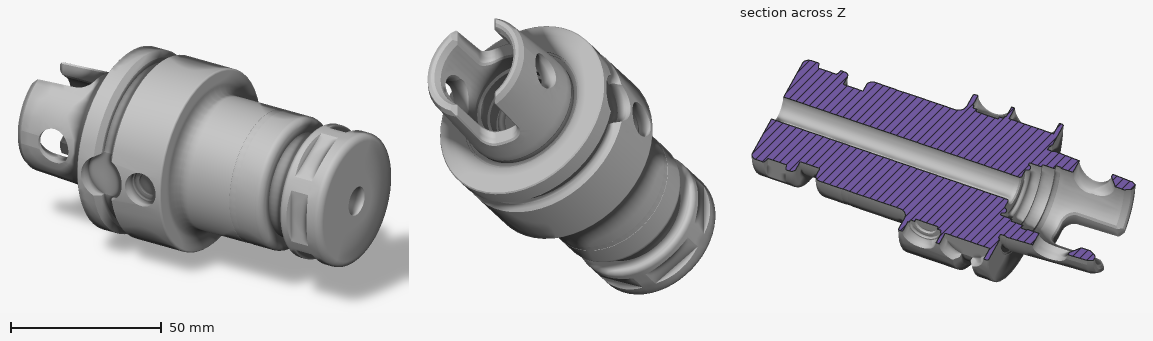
import cadquery as cq
import math

TOTAL_LENGTH = 122.0

SHANK_LENGTH = 32.0
TAPER_START = 1.9
TAPER_END = 30.4
TAPER_START_RADIUS = 18.5
TAPER_END_RADIUS = 20.0
TIP_RADIUS = 17.5
NECK_RELIEF_START = 31.0
NECK_RELIEF_RADIUS = 19.7

UNDERCUT_OUTER_RADIUS = 21.9
UNDERCUT_FLOOR_RADIUS = 21.2
UNDERCUT_DEPTH = 0.7
UNDERCUT_STEP_DEPTH = 0.3

FLANGE_RADIUS = 63.0 / 2
FLANGE_END = 64.75
FLANGE_EDGE_CHAMFER = 0.4
FLANGE_REAR_ROUND = 0.65
GROOVE_CENTER = 41.7
GROOVE_FLOOR_WIDTH = 4.0
GROOVE_MOUTH_WIDTH = 7.1
GROOVE_FLOOR_RADIUS = 27.7
GROOVE_CHAMFER_RADIUS = 29.3

BODY_RADIUS = 46.0 / 2
BODY_END = 98.9
BODY_END_ROUND = 2.2
BODY_BAND_START = 86.6
BODY_BAND_END = 89.0
BODY_BAND_DEPTH = 0.1
BODY_ROOT_ROUND = 3.0
NECK_RADIUS = 36.0 / 2
NUT_START = 105.9
NUT_RADIUS = BODY_RADIUS
NUT_FRONT_ROUND = 1.6
NUT_END_ROUND = 2.2

FLAT_COUNT = 6
FLAT_CENTER = 112.95
FLAT_FLOOR_WIDTH = 6.5
FLAT_MOUTH_WIDTH = 7.9
FLAT_DISTANCE = 21.0

BORE_FACE_RADIUS = 16.2
BORE_LEAD_RADIUS = 30.4 / 2
BORE_FACE_CHAMFER = 0.5
BORE_LEAD_END = 2.6
BORE_STEPS = [
    (28.0 / 2, 25.6),
    (28.8 / 2, 27.4),
    (26.0 / 2, 31.7),
    (24.0 / 2, 36.0),
]

BEAD_OUTER_RADIUS = 22.5 / 2
BEAD_INNER_RADIUS = 17.4 / 2
THROUGH_RADIUS = 10.0 / 2
THROUGH_ENTRY_RADIUS = 11.0 / 2

SLOT_HALF_WIDTH = 7.1
SLOT_DEPTH = 20.4
SLOT_CORNER_RADIUS = 4.0
SLOT_MOUTH_CHAMFER_WIDTH = 1.5
SLOT_MOUTH_CHAMFER_LENGTH = 1.9
SLOT_EDGE_CHAMFER = 0.6

BALL_HOLE_CENTER = 15.0
BALL_HOLE_DIAMETER = 12.3
BALL_SEAT_DIAMETER = 12.0
BALL_SEAT_TILT = 40.0
BALL_SEAT_DISTANCE = 15.5
LEAD_FLAT_WIDTH = 4.8
LEAD_FLAT_END = BALL_HOLE_CENTER - 4.0

POCKET_DIAMETER = 16.0
POCKET_FLOOR = 26.6
SCREW_HOLE_CENTER = 57.0
SCREW_HOLE_STEPS = [(12.0, 27.0), (11.0, 26.0), (8.0, 25.0)]

SIDES = (-1, 1)


def outer_body():
    groove_left = GROOVE_CENTER - GROOVE_MOUTH_WIDTH / 2
    groove_right = GROOVE_CENTER + GROOVE_MOUTH_WIDTH / 2
    floor_left = GROOVE_CENTER - GROOVE_FLOOR_WIDTH / 2
    floor_right = GROOVE_CENTER + GROOVE_FLOOR_WIDTH / 2
    diagonal = math.sqrt(0.5)

    root_round_end = (FLANGE_END + BODY_ROOT_ROUND, BODY_RADIUS)
    root_round_middle = (
        FLANGE_END + BODY_ROOT_ROUND * (1 - diagonal),
        BODY_RADIUS + BODY_ROOT_ROUND * (1 - diagonal),
    )
    profile = (
        cq.Workplane("XY")
        .moveTo(0, 0)
        .lineTo(0, TIP_RADIUS)
        .lineTo(TAPER_START, TAPER_START_RADIUS)
        .lineTo(TAPER_END, TAPER_END_RADIUS)
        .lineTo(NECK_RELIEF_START, NECK_RELIEF_RADIUS)
        .lineTo(SHANK_LENGTH + UNDERCUT_DEPTH, NECK_RELIEF_RADIUS)
        .lineTo(SHANK_LENGTH + UNDERCUT_DEPTH, UNDERCUT_FLOOR_RADIUS)
        .lineTo(SHANK_LENGTH + UNDERCUT_STEP_DEPTH, UNDERCUT_FLOOR_RADIUS)
        .lineTo(SHANK_LENGTH + UNDERCUT_STEP_DEPTH, UNDERCUT_OUTER_RADIUS)
        .lineTo(SHANK_LENGTH, UNDERCUT_OUTER_RADIUS)
        .lineTo(SHANK_LENGTH, FLANGE_RADIUS - FLANGE_EDGE_CHAMFER)
        .lineTo(SHANK_LENGTH + FLANGE_EDGE_CHAMFER, FLANGE_RADIUS)
        .lineTo(groove_left, FLANGE_RADIUS)
        .lineTo(floor_left, GROOVE_CHAMFER_RADIUS)
        .lineTo(floor_left, GROOVE_FLOOR_RADIUS)
        .lineTo(floor_right, GROOVE_FLOOR_RADIUS)
        .lineTo(floor_right, GROOVE_CHAMFER_RADIUS)
        .lineTo(groove_right, FLANGE_RADIUS)
        .lineTo(FLANGE_END - FLANGE_REAR_ROUND, FLANGE_RADIUS)
        .radiusArc((FLANGE_END, FLANGE_RADIUS - FLANGE_REAR_ROUND), FLANGE_REAR_ROUND)
        .lineTo(FLANGE_END, BODY_RADIUS + BODY_ROOT_ROUND)
        .threePointArc(root_round_middle, root_round_end)
        .lineTo(BODY_BAND_START, BODY_RADIUS)
        .lineTo(BODY_BAND_START, BODY_RADIUS - BODY_BAND_DEPTH)
        .lineTo(BODY_BAND_END, BODY_RADIUS - BODY_BAND_DEPTH)
        .lineTo(BODY_BAND_END, BODY_RADIUS)
        .lineTo(BODY_END - BODY_END_ROUND, BODY_RADIUS)
        .radiusArc((BODY_END, BODY_RADIUS - BODY_END_ROUND), BODY_END_ROUND)
        .lineTo(BODY_END, NECK_RADIUS)
        .lineTo(NUT_START, NECK_RADIUS)
        .lineTo(NUT_START, NUT_RADIUS - NUT_FRONT_ROUND)
        .radiusArc((NUT_START + NUT_FRONT_ROUND, NUT_RADIUS), NUT_FRONT_ROUND)
        .lineTo(TOTAL_LENGTH - NUT_END_ROUND, NUT_RADIUS)
        .radiusArc((TOTAL_LENGTH, NUT_RADIUS - NUT_END_ROUND), NUT_END_ROUND)
        .lineTo(TOTAL_LENGTH, 0)
        .close()
    )
    return profile.revolve(360, (0, 0, 0), (1, 0, 0))


def stepped_bore():
    bead_round = (BEAD_OUTER_RADIUS - BEAD_INNER_RADIUS) / 2
    entry_chamfer = THROUGH_ENTRY_RADIUS - THROUGH_RADIUS
    bore_floor = BORE_STEPS[-1][1]
    bead_crest = (bore_floor - bead_round, BEAD_INNER_RADIUS + bead_round)
    profile = (
        cq.Workplane("XY")
        .moveTo(0, 0)
        .lineTo(0, BORE_FACE_RADIUS)
        .lineTo(BORE_FACE_CHAMFER, BORE_LEAD_RADIUS)
    )
    step_start = BORE_LEAD_END
    for radius, step_end in BORE_STEPS:
        profile = profile.lineTo(step_start, radius).lineTo(step_end, radius)
        step_start = step_end
    profile = (
        profile.lineTo(bore_floor, BEAD_OUTER_RADIUS)
        .threePointArc(bead_crest, (bore_floor, BEAD_INNER_RADIUS))
        .lineTo(bore_floor, THROUGH_ENTRY_RADIUS)
        .lineTo(bore_floor + entry_chamfer, THROUGH_RADIUS)
        .lineTo(TOTAL_LENGTH, THROUGH_RADIUS)
        .lineTo(TOTAL_LENGTH, 0)
        .close()
    )
    return profile.revolve(360, (0, 0, 0), (1, 0, 0))


def drive_slots():
    mouth_half_width = SLOT_HALF_WIDTH + SLOT_MOUTH_CHAMFER_WIDTH
    slot = (
        cq.Workplane("XY")
        .rect(2 * SLOT_DEPTH, 2 * SLOT_HALF_WIDTH)
        .extrude(FLANGE_RADIUS, both=True)
        .edges("|Z and >X")
        .fillet(SLOT_CORNER_RADIUS)
    )
    mouth = (
        cq.Workplane("XY")
        .polyline([
            (0, -mouth_half_width),
            (SLOT_MOUTH_CHAMFER_LENGTH, -SLOT_HALF_WIDTH),
            (SLOT_MOUTH_CHAMFER_LENGTH, SLOT_HALF_WIDTH),
            (0, mouth_half_width),
        ])
        .close()
        .extrude(FLANGE_RADIUS, both=True)
    )
    return slot.union(mouth)


def cross_hole():
    return (
        cq.Workplane("XZ")
        .center(BALL_HOLE_CENTER, 0)
        .circle(BALL_HOLE_DIAMETER / 2)
        .extrude(FLANGE_RADIUS, both=True)
    )


def ball_seat(side):
    """Tilted round pocket that widens the inner end of the cross hole toward the open end."""
    tilt = math.radians(BALL_SEAT_TILT)
    inward = cq.Vector(-math.sin(tilt), -side * math.cos(tilt), 0)
    center = cq.Vector(BALL_HOLE_CENTER, side * BALL_SEAT_DISTANCE, 0)
    return cq.Solid.makeCylinder(BALL_SEAT_DIAMETER / 2, BALL_SEAT_DISTANCE / 2, center, inward)


def lead_flat(side):
    """Flat that follows the taper and is LEAD_FLAT_WIDTH wide at its start."""
    slope = (TAPER_END_RADIUS - TAPER_START_RADIUS) / (TAPER_END - TAPER_START)
    start_distance = math.sqrt(TAPER_START_RADIUS**2 - (LEAD_FLAT_WIDTH / 2) ** 2)
    end_distance = start_distance + slope * (LEAD_FLAT_END - TAPER_START)
    return (
        cq.Workplane("XY")
        .polyline([
            (TAPER_START, side * start_distance),
            (LEAD_FLAT_END, side * end_distance),
            (LEAD_FLAT_END, side * FLANGE_RADIUS),
            (TAPER_START, side * FLANGE_RADIUS),
        ])
        .close()
        .extrude(LEAD_FLAT_WIDTH / 2, both=True)
    )


def side_hole(center, diameter, floor, side):
    """Blind round hole along Y whose flat floor lies `floor` from the holder axis."""
    return (
        cq.Workplane("XZ", origin=(0, side * floor, 0))
        .center(center, 0)
        .circle(diameter / 2)
        .extrude(-side * FLANGE_RADIUS)
    )


def wrench_flat(index):
    flat = (
        cq.Workplane("XY")
        .polyline([
            (FLAT_CENTER - FLAT_FLOOR_WIDTH / 2, FLAT_DISTANCE),
            (FLAT_CENTER + FLAT_FLOOR_WIDTH / 2, FLAT_DISTANCE),
            (FLAT_CENTER + FLAT_MOUTH_WIDTH / 2, NUT_RADIUS),
            (FLAT_CENTER - FLAT_MOUTH_WIDTH / 2, NUT_RADIUS),
        ])
        .close()
        .extrude(NUT_RADIUS, both=True)
    )
    return flat.rotate((0, 0, 0), (1, 0, 0), index * 360 / FLAT_COUNT)


def with_chamfered_slot_edges(shank):
    """Break the slot edges on the outside of the taper and on the wall of the bore."""
    margin = 0.05
    shortest_side = SLOT_DEPTH / 2
    edges = []
    for edge in shank.edges().vals():
        box = edge.BoundingBox()
        at_corner = SLOT_CORNER_RADIUS - margin < box.xlen < SLOT_CORNER_RADIUS + margin
        on_slot = box.xmax < SLOT_DEPTH + margin and max(box.ymax, -box.ymin) < SLOT_HALF_WIDTH + margin
        at_slot_end = box.xmin > SLOT_DEPTH - margin and box.ylen > margin
        if on_slot and (box.xlen > shortest_side or at_corner or at_slot_end):
            edges.append(edge)
    return shank.newObject(edges).chamfer(SLOT_EDGE_CHAMFER)


shank_and_body = outer_body().cut(stepped_bore()).cut(drive_slots())
result = with_chamfered_slot_edges(shank_and_body).cut(cross_hole())
for side in SIDES:
    result = result.cut(cq.Workplane(ball_seat(side)))
    result = result.cut(lead_flat(side))
    result = result.cut(side_hole(GROOVE_CENTER, POCKET_DIAMETER, POCKET_FLOOR, side))
    for diameter, floor in SCREW_HOLE_STEPS:
        result = result.cut(side_hole(SCREW_HOLE_CENTER, diameter, floor, side))
for index in range(FLAT_COUNT):
    result = result.cut(wrench_flat(index))